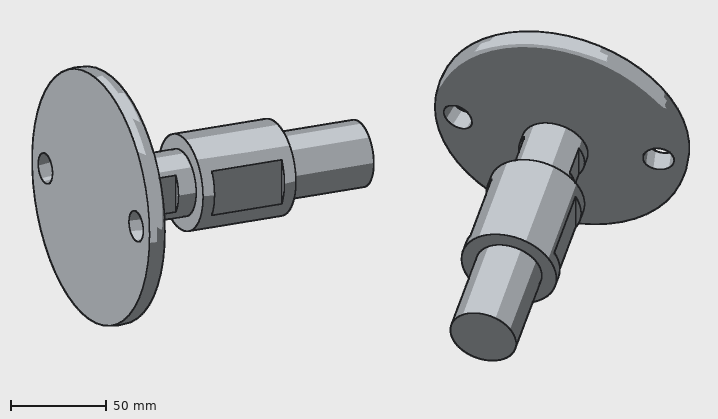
import cadquery as cq
import math

TOTAL_LENGTH = 158.0

RIM_RADIUS = 138.0 / 2
RIM_HEIGHT = 4.1
SOLE_RADIUS = 68.4
ARC_START_RADIUS = 68.7
ARC_START_HEIGHT = 7.3
ARC_END_RADIUS = 66.5
ARC_END_HEIGHT = 10.0
SHOULDER_ARC_RADIUS = 2.7
CONE_TOP_HEIGHT = 18.3

HOLE_DIAMETER = 16.5
HOLE_OFFSET = 52.8
HOLE_CUT_LENGTH = 63.2

STEM_RADIUS = 36.0 / 2
STEM_FLAT_OFFSET = 14.9
STEM_FLAT_START = 24.8
STEM_FLAT_END = 42.7

COLLAR_RADIUS = 52.0 / 2
COLLAR_START = 53.1
COLLAR_END = 107.9
COLLAR_FLAT_OFFSET = 22.9
COLLAR_FLAT_MARGIN = 6.8

CONE_ANGLE = math.atan2(CONE_TOP_HEIGHT - ARC_END_HEIGHT, ARC_END_RADIUS - STEM_RADIUS)


def cylinder_along_y(radius, start, end):
    """Cylinder on the Y axis between two heights."""
    base = cq.Vector(0, start, 0)
    return cq.Workplane(cq.Solid.makeCylinder(radius, end - start, base, cq.Vector(0, 1, 0)))


def cut_wrench_flats(body, radius, offset, start, end):
    """Cut two opposite flats, at X = -offset and X = +offset."""
    depth = radius - offset
    for side in (-1, 1):
        cutter = cq.Workplane("XY").box(depth, end - start, 2 * radius)
        body = body.cut(cutter.translate((side * (offset + depth / 2), (start + end) / 2, 0)))
    return body


def make_plate():
    plate = (
        cq.Workplane("XY")
        .lineTo(SOLE_RADIUS, 0)
        .lineTo(RIM_RADIUS, RIM_HEIGHT)
        .lineTo(ARC_START_RADIUS, ARC_START_HEIGHT)
        .radiusArc((ARC_END_RADIUS, ARC_END_HEIGHT), -SHOULDER_ARC_RADIUS)
        .lineTo(STEM_RADIUS, CONE_TOP_HEIGHT)
        .lineTo(0, CONE_TOP_HEIGHT)
        .close()
    )
    return plate.revolve(360, (0, 0, 0), (0, 1, 0))


def make_hole_cutter(side):
    """Slanted cylinder centred on the sole, leaning outward as it rises."""
    axis = cq.Vector(side * math.sin(CONE_ANGLE), math.cos(CONE_ANGLE), 0)
    start = cq.Vector(side * HOLE_OFFSET, 0, 0) - axis * (HOLE_CUT_LENGTH / 2)
    return cq.Workplane(cq.Solid.makeCylinder(HOLE_DIAMETER / 2, HOLE_CUT_LENGTH, start, axis))


def make_foot():
    """Foot plate and stem in one piece."""
    stem = cylinder_along_y(STEM_RADIUS, 0, TOTAL_LENGTH)
    foot = make_plate().union(stem)
    foot = cut_wrench_flats(foot, STEM_RADIUS, STEM_FLAT_OFFSET, STEM_FLAT_START, STEM_FLAT_END)
    for side in (-1, 1):
        foot = foot.cut(make_hole_cutter(side))
    return foot


def make_collar():
    """Sleeve that fits closely around the stem."""
    collar = cylinder_along_y(COLLAR_RADIUS, COLLAR_START, COLLAR_END)
    collar = cut_wrench_flats(
        collar,
        COLLAR_RADIUS,
        COLLAR_FLAT_OFFSET,
        COLLAR_START + COLLAR_FLAT_MARGIN,
        COLLAR_END - COLLAR_FLAT_MARGIN,
    )
    return collar.cut(cylinder_along_y(STEM_RADIUS, COLLAR_START, COLLAR_END))


foot = make_foot()
collar = make_collar()
result = cq.Compound.makeCompound([foot.val(), collar.val()])